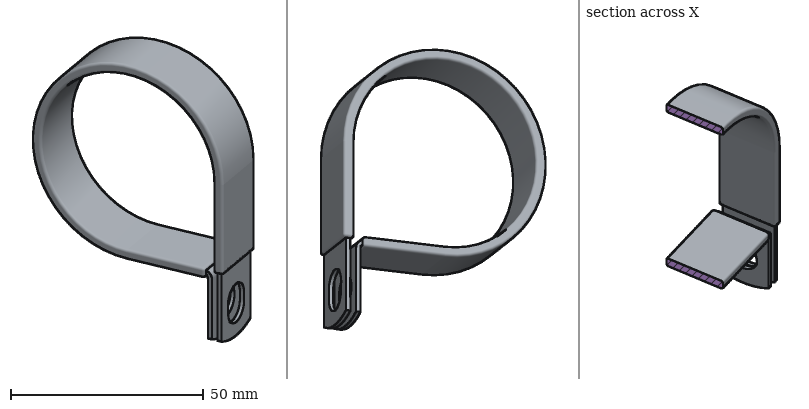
import cadquery as cq
import math


loop_inner_radius = 25.38
strap_thickness = 1.25
cushion_width = 17.46
cushion_depth = 0.7875
overall_height = 75.76
tab_gap = 1.5875
bend_inner_radius = 1.0
arm_cushion_end_x = 22.8
leg_cushion_end_z = -26.1
hole_diameter = 8.73
slot_length = 11.1
hole_above_tip = 9.525
tip_radius = 19.5

cushion_thickness = strap_thickness + 2 * cushion_depth
strap_width = cushion_width - 2 * cushion_depth
loop_outer_radius = loop_inner_radius + cushion_thickness
strap_inner_radius = loop_inner_radius + cushion_depth
strap_outer_radius = strap_inner_radius + strap_thickness
tip_z = loop_outer_radius - overall_height
bent_tab_outer_x = strap_inner_radius - tab_gap
bent_tab_inner_x = bent_tab_outer_x - strap_thickness
bend_outer_radius = bend_inner_radius + strap_thickness
bend_center_x = bent_tab_inner_x - bend_inner_radius
bend_center_z = -strap_outer_radius - bend_inner_radius
gap_middle_x = strap_inner_radius - tab_gap / 2
hole_center_z = tip_z + hole_above_tip
diagonal = math.sqrt(0.5)


def make_cushion():
    """Three-quarter ring with a leg and an arm, all edges rounded by the cushion depth."""
    outer = loop_outer_radius
    inner = loop_inner_radius
    profile = (
        cq.Workplane("XZ")
        .moveTo(outer, leg_cushion_end_z)
        .lineTo(outer, 0)
        .threePointArc((-outer * diagonal, outer * diagonal), (0, -outer))
        .lineTo(arm_cushion_end_x, -outer)
        .lineTo(arm_cushion_end_x, -inner)
        .lineTo(0, -inner)
        .threePointArc((-inner * diagonal, inner * diagonal), (inner, 0))
        .lineTo(inner, leg_cushion_end_z)
        .close()
    )
    body = profile.extrude(cushion_width / 2, both=True)
    rims = body.faces("<Y or >Y").edges()
    leg_point = (loop_outer_radius - cushion_thickness / 2, 0, leg_cushion_end_z)
    arm_point = (arm_cushion_end_x, 0, -loop_outer_radius + cushion_thickness / 2)
    leg_end = body.faces(cq.selectors.NearestToPointSelector(leg_point))
    arm_end = body.faces(cq.selectors.NearestToPointSelector(arm_point))
    return rims.add(leg_end.edges("|Y")).add(arm_end.edges("|Y")).fillet(cushion_depth)


def make_straight_tab():
    """Flat end of the strap continuing straight down from the cushioned leg."""
    return (
        cq.Workplane("XY")
        .box(strap_thickness, strap_width, -tip_z, centered=(False, True, False))
        .translate((strap_inner_radius, 0, tip_z))
    )


def make_bent_tab():
    """Strap end leaving the cushioned arm and bending down beside the straight tab."""
    return (
        cq.Workplane("XZ")
        .moveTo(0, -strap_inner_radius)
        .lineTo(bend_center_x, -strap_inner_radius)
        .threePointArc(
            (bend_center_x + bend_outer_radius * diagonal, bend_center_z + bend_outer_radius * diagonal),
            (bent_tab_outer_x, bend_center_z),
        )
        .lineTo(bent_tab_outer_x, tip_z)
        .lineTo(bent_tab_inner_x, tip_z)
        .lineTo(bent_tab_inner_x, bend_center_z)
        .threePointArc(
            (bend_center_x + bend_inner_radius * diagonal, bend_center_z + bend_inner_radius * diagonal),
            (bend_center_x, -strap_outer_radius),
        )
        .lineTo(0, -strap_outer_radius)
        .close()
        .extrude(strap_width / 2, both=True)
    )


def make_tab_envelope():
    """Block across both tabs with the arched tip; keeping only what lies inside it trims the tabs."""
    half_width = strap_width / 2
    tip_rise = tip_radius - math.sqrt(tip_radius**2 - half_width**2)
    return (
        cq.Workplane("YZ")
        .moveTo(-half_width, 0)
        .lineTo(-half_width, tip_z + tip_rise)
        .threePointArc((0, tip_z), (half_width, tip_z + tip_rise))
        .lineTo(half_width, 0)
        .close()
        .extrude(loop_outer_radius)
    )


def make_bolt_hole():
    """Round bolt hole through the bent tab."""
    return (
        cq.Workplane("YZ")
        .center(0, hole_center_z)
        .circle(hole_diameter / 2)
        .extrude(gap_middle_x)
    )


def make_bolt_slot():
    """Slot through the straight tab, lengthened along the strap."""
    return (
        cq.Workplane("YZ", origin=(gap_middle_x, 0, 0))
        .center(0, hole_center_z)
        .slot2D(slot_length, hole_diameter, angle=90)
        .extrude(loop_outer_radius - gap_middle_x)
    )


tabs = make_straight_tab().union(make_bent_tab())
tabs = tabs.intersect(make_tab_envelope())
tabs = tabs.cut(make_bolt_hole()).cut(make_bolt_slot())
result = make_cushion().union(tabs)